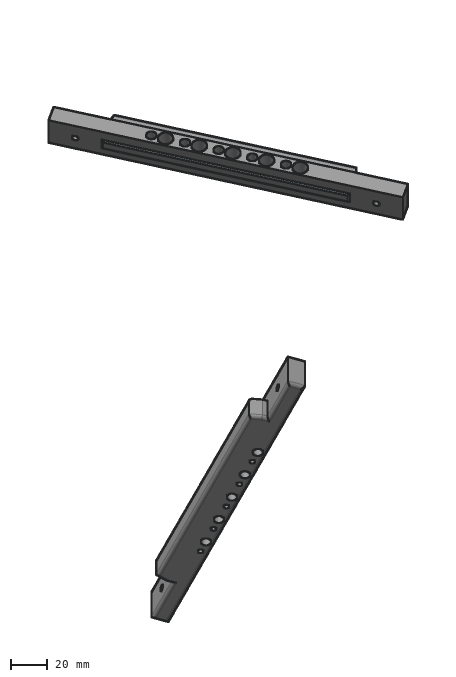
import cadquery as cq

bar_length = 200.0
bar_depth = 10.0
bar_height = 20.0
edge_radius = 2.0

tab_depth = 10.0
tab_height = 13.5
tab_base_length = 140.0
tab_tip_length = 136.0
tab_straight_depth = 3.0

rib_length = 140.0
rib_height = 7.0
rib_thickness = 1.0

mount_hole_diameter = 3.5
mount_hole_spacing = 170.0

pair_count = 5
pair_pitch = 19.0
plain_hole_start = -43.5
plain_to_screw = 8.0
plain_hole_diameter = 5.5
screw_hole_diameter = 3.0
counterbore_diameter = 8.5
counterbore_depth = 10.0

bar_mid_height = bar_height / 2


def make_bar():
    return cq.Workplane("XY").box(bar_length, bar_depth, bar_height, centered=(True, False, False))


def make_tab():
    base_half = tab_base_length / 2
    tip_half = tab_tip_length / 2
    taper_start = bar_depth + tab_straight_depth
    tip = bar_depth + tab_depth
    outline = [
        (-base_half, bar_depth),
        (base_half, bar_depth),
        (base_half, taper_start),
        (tip_half, tip),
        (-tip_half, tip),
        (-base_half, taper_start),
    ]
    tab = cq.Workplane("XY").polyline(outline).close().extrude(tab_height)
    return tab.faces(">Y").edges(">Z").fillet(edge_radius)


def make_rib():
    """Frustum on the front face, narrowing towards -Y."""
    return (
        cq.Workplane("XZ", origin=(0, 0, bar_mid_height))
        .rect(rib_length, rib_height)
        .workplane(offset=rib_thickness)
        .rect(rib_length - 2 * rib_thickness, rib_height - 2 * rib_thickness)
        .loft(ruled=True)
    )


def make_mount_holes():
    return (
        cq.Workplane("XZ", origin=(0, 0, bar_mid_height))
        .rarray(mount_hole_spacing, 2, 2, 1)
        .circle(mount_hole_diameter / 2)
        .extrude(-bar_depth)
    )


def drill_row(body):
    plain_points = [(plain_hole_start + i * pair_pitch, bar_depth / 2) for i in range(pair_count)]
    screw_points = [(x + plain_to_screw, y) for x, y in plain_points]
    top = cq.Workplane("XY", origin=(0, 0, bar_height))
    plain = top.pushPoints(plain_points).circle(plain_hole_diameter / 2).extrude(-bar_height)
    screw = top.pushPoints(screw_points).circle(screw_hole_diameter / 2).extrude(-bar_height)
    recess = top.pushPoints(screw_points).circle(counterbore_diameter / 2).extrude(-counterbore_depth)
    return body.cut(plain).cut(screw).cut(recess)


body = make_bar().union(make_tab())
body = body.faces("<Z").edges().fillet(edge_radius)
body = body.union(make_rib()).cut(make_mount_holes())
result = drill_row(body)